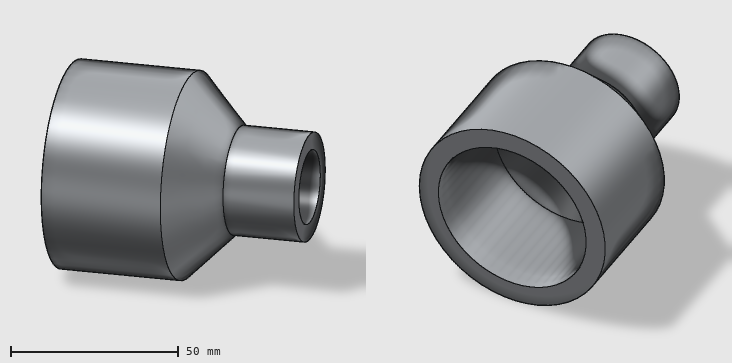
import cadquery as cq

total_length = 74.0
large_length = 37.0
cone_length = 15.0
large_bore_length = 34.55
large_outer_diameter = 63.0
large_bore_diameter = 50.0
small_outer_diameter = 33.0
small_bore_diameter = 22.5


def stepped_cone(large_diameter, small_diameter, cone_start):
    """Solid with a large cylinder, a cone and a small cylinder along +X."""
    large_radius = large_diameter / 2
    small_radius = small_diameter / 2
    return (
        cq.Workplane("XY")
        .moveTo(0, 0)
        .lineTo(0, large_radius)
        .lineTo(cone_start, large_radius)
        .lineTo(cone_start + cone_length, small_radius)
        .lineTo(total_length, small_radius)
        .lineTo(total_length, 0)
        .close()
        .revolve(360, (0, 0, 0), (1, 0, 0))
    )


body = stepped_cone(large_outer_diameter, small_outer_diameter, large_length)
bore = stepped_cone(large_bore_diameter, small_bore_diameter, large_bore_length)
result = body.cut(bore)